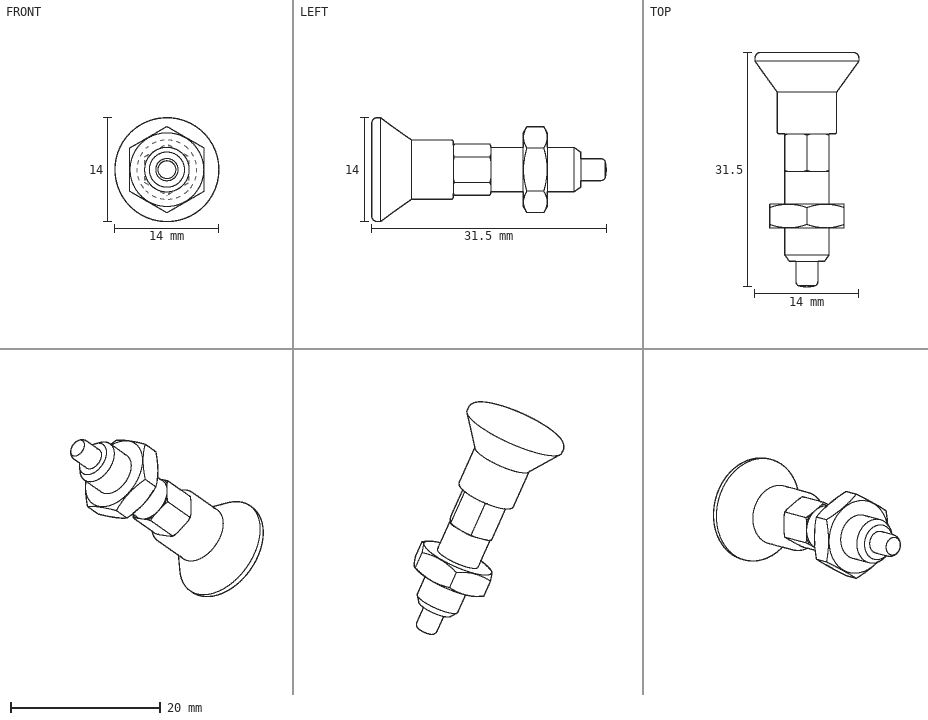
import cadquery as cq
import math


pin_radius = 3.0 / 2
pin_round_radius = 0.75
pin_round_end = 0.8
dome_rim_radius = 1.2
dome_height = 0.2

body_radius = 6 / 2
body_start = 3.43
body_chamfer_length = 0.88
body_chamfer_depth = 0.63

nut_across_flats = 10.02
nut_face_diameter = 9.9
nut_start = 7.9
nut_end = 11.15
nut_chamfer_angle = 30

grip_across_flats = 6.0
grip_face_diameter = 6.4
grip_start = 15.5
grip_chamfer_angle = 30

sleeve_radius = 8.0 / 2
sleeve_start = 20.55
sleeve_round = 0.28
knob_radius = 14.0 / 2
cone_start = 26.15
cone_end = 30.3
knob_end = 31.5
knob_round = 0.8


def revolve_profile(profile):
    """Turn a closed (radius, Y) outline into a solid around the Y axis."""
    return profile.close().revolve(360, (0, 0, 0), (0, 1, 0))


def make_pin():
    """Cylinder with a rounded shoulder and a shallow domed tip."""
    round_center_radius = pin_radius - pin_round_radius
    rim_angle = math.acos((dome_rim_radius - round_center_radius) / pin_round_radius)
    rim_y = pin_round_end - pin_round_radius * math.sin(rim_angle)
    round_middle = (
        round_center_radius + pin_round_radius * math.cos(rim_angle / 2),
        pin_round_end - pin_round_radius * math.sin(rim_angle / 2),
    )
    dome_radius = (dome_rim_radius**2 + dome_height**2) / (2 * dome_height)
    dome_middle_radius = dome_rim_radius / 2
    dome_middle_y = dome_radius - math.sqrt(dome_radius**2 - dome_middle_radius**2)
    profile = (
        cq.Workplane("XY")
        .threePointArc((dome_middle_radius, dome_middle_y), (dome_rim_radius, rim_y))
        .threePointArc(round_middle, (pin_radius, pin_round_end))
        .lineTo(pin_radius, nut_start)
        .lineTo(0, nut_start)
    )
    return revolve_profile(profile)


def make_body():
    """Round body with a chamfered front end, reaching into the sleeve."""
    profile = (
        cq.Workplane("XY")
        .moveTo(0, body_start)
        .lineTo(body_radius - body_chamfer_depth, body_start)
        .lineTo(body_radius, body_start + body_chamfer_length)
        .lineTo(body_radius, cone_start)
        .lineTo(0, cone_start)
    )
    return revolve_profile(profile)


def make_chamfered_hexagon(across_flats, face_diameter, start, end, chamfer_angle):
    """Hexagonal prism with corners up and down and both ends turned to a cone."""
    corner_diameter = across_flats / math.cos(math.radians(30))
    corner_radius = corner_diameter / 2
    face_radius = face_diameter / 2
    chamfer_length = (corner_radius - face_radius) * math.tan(math.radians(chamfer_angle))
    prism = (
        cq.Workplane("XZ", origin=(0, start, 0))
        .transformed(rotate=(0, 0, 90))
        .polygon(6, corner_diameter)
        .extrude(start - end)
    )
    turned_envelope = revolve_profile(
        cq.Workplane("XY")
        .moveTo(0, start)
        .lineTo(face_radius, start)
        .lineTo(corner_radius, start + chamfer_length)
        .lineTo(corner_radius, end - chamfer_length)
        .lineTo(face_radius, end)
        .lineTo(0, end)
    )
    return prism.intersect(turned_envelope)


def make_knob():
    """Sleeve that flares into a wide knob with a rounded outer rim."""
    profile = (
        cq.Workplane("XY")
        .moveTo(0, sleeve_start)
        .lineTo(sleeve_radius - sleeve_round, sleeve_start)
        .radiusArc((sleeve_radius, sleeve_start + sleeve_round), -sleeve_round)
        .lineTo(sleeve_radius, cone_start)
        .lineTo(knob_radius, cone_end)
        .lineTo(knob_radius, knob_end - knob_round)
        .radiusArc((knob_radius - knob_round, knob_end), -knob_round)
        .lineTo(0, knob_end)
    )
    return revolve_profile(profile)


nut = make_chamfered_hexagon(
    nut_across_flats, nut_face_diameter, nut_start, nut_end, nut_chamfer_angle
)
grip = make_chamfered_hexagon(
    grip_across_flats, grip_face_diameter, grip_start, sleeve_start, grip_chamfer_angle
)
result = make_body().union(make_pin()).union(nut).union(grip).union(make_knob())